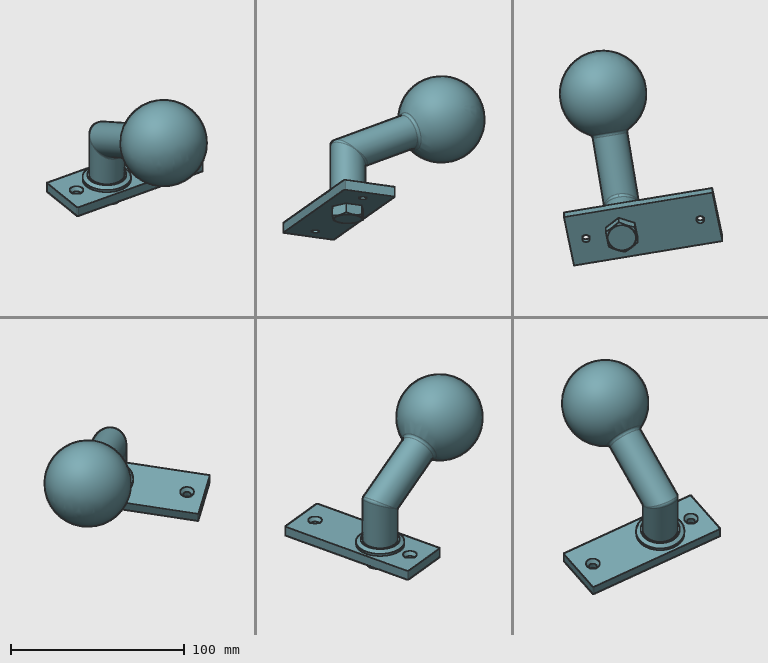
import cadquery as cq
import math


plate_width = 32.0
plate_length = 87.0
plate_thickness = 6.0
plate_front_margin = 31.0
plate_corner_radius = 0.5
screw_hole_diameter = 4.5
countersink_diameter = 8.0
countersink_angle = 75.0
screw_end_margin = 10.0

washer_diameter = 28.0
washer_thickness = 3.0
washer_rim_height = washer_thickness / 2
washer_top_diameter = 22.6

bolt_diameter = 10.0
bolt_head_flats = 17.0
bolt_head_height = 6.4
bolt_head_face_diameter = 16.2
bolt_head_chamfer_angle = 30.0
bolt_reach = 16.0

handle_diameter = 20.4
ball_diameter = 50.0
ball_offset = 59.0
ball_height = 62.0
arm_rise_angle = 26.0
handle_fillet_radius = 2.0

plate_center_y = plate_length / 2 - plate_front_margin
screw_spacing = plate_length - 2 * screw_end_margin
washer_top = plate_thickness + washer_thickness
bolt_tip = washer_top + bolt_reach
arm_rise = math.radians(arm_rise_angle)
elbow_height = ball_height - ball_offset * math.tan(arm_rise)
miter_angle = (90 - arm_rise_angle) / 2
neck_distance = math.sqrt((ball_diameter / 2) ** 2 - (handle_diameter / 2) ** 2)
splitter_size = 4 * ball_offset


def make_plate():
    """Rectangular plate with two countersunk screw holes and a bolt hole."""
    plate = (
        cq.Workplane("XY")
        .center(0, plate_center_y)
        .rect(plate_width, plate_length)
        .extrude(plate_thickness)
        .edges("|Z")
        .fillet(plate_corner_radius)
    )
    plate = (
        plate.faces(">Z")
        .workplane(origin=(0, plate_center_y, plate_thickness))
        .rarray(1, screw_spacing, 1, 2)
        .cskHole(screw_hole_diameter, countersink_diameter, countersink_angle)
    )
    bolt_hole = cq.Workplane("XY").circle(bolt_diameter / 2).extrude(plate_thickness)
    return plate.cut(bolt_hole)


def make_washer():
    """Flat ring whose upper outside edge is a cone."""
    return (
        cq.Workplane("XZ")
        .moveTo(bolt_diameter / 2, plate_thickness)
        .lineTo(washer_diameter / 2, plate_thickness)
        .lineTo(washer_diameter / 2, plate_thickness + washer_rim_height)
        .lineTo(washer_top_diameter / 2, washer_top)
        .lineTo(bolt_diameter / 2, washer_top)
        .close()
        .revolve(360, (0, 0, 0), (0, 1, 0))
    )


def make_bolt():
    """Hex bolt, head below the plate, with the outer head corners turned to a cone."""
    corner_diameter = bolt_head_flats / math.cos(math.radians(30))
    head = (
        cq.Workplane("XY")
        .workplane(offset=-bolt_head_height)
        .polygon(6, corner_diameter)
        .extrude(bolt_head_height)
    )
    face_radius = bolt_head_face_diameter / 2
    corner_radius = corner_diameter / 2
    chamfer_height = (corner_radius - face_radius) * math.tan(math.radians(bolt_head_chamfer_angle))
    turned_blank = (
        cq.Workplane("XZ")
        .moveTo(0, -bolt_head_height)
        .lineTo(face_radius, -bolt_head_height)
        .lineTo(corner_radius, chamfer_height - bolt_head_height)
        .lineTo(corner_radius, 0)
        .lineTo(0, 0)
        .close()
        .revolve(360, (0, 0, 0), (0, 1, 0))
    )
    shank = cq.Workplane("XY").circle(bolt_diameter / 2).extrude(bolt_tip)
    return head.intersect(turned_blank).union(shank)


def round_elbow(bar):
    """Round the mitre, which sticks out on the back of the bend and is hollow on the inside of it.

    The bar is split at the elbow, square to the mitre, so that each half holds only
    one kind of corner. Each half is rounded by itself and the halves are joined again.
    """
    halves = []
    for side in (-1, 1):
        half_space = (
            cq.Workplane("XY")
            .box(splitter_size, splitter_size, splitter_size)
            .translate((side * splitter_size / 2, 0, 0))
            .rotate((0, 0, 0), (0, 1, 0), miter_angle)
            .translate((0, 0, elbow_height))
        )
        half = bar.intersect(half_space)
        miter_corner = half.edges("%ELLIPSE").edges("<Y or >Y")
        halves.append(miter_corner.fillet(handle_fillet_radius))
    return halves[0].union(halves[1])


def make_handle():
    """Round stem mitred into a sloping arm that ends in a ball, drilled for the bolt."""
    path = (
        cq.Workplane("XZ")
        .moveTo(0, washer_top)
        .lineTo(0, elbow_height)
        .lineTo(ball_offset, ball_height)
    )
    bar = (
        cq.Workplane("XY")
        .workplane(offset=washer_top)
        .circle(handle_diameter / 2)
        .sweep(path, transition="right")
    )
    bar = round_elbow(bar)
    ball = (
        cq.Workplane("XY")
        .sphere(ball_diameter / 2)
        .rotate((0, 0, 0), (1, 0, 0), 90)
        .translate((ball_offset, 0, ball_height))
    )
    handle = bar.union(ball)
    neck_point = (
        ball_offset - neck_distance * math.cos(arm_rise),
        0,
        ball_height - neck_distance * math.sin(arm_rise),
    )
    handle = handle.edges(cq.selectors.NearestToPointSelector(neck_point)).fillet(handle_fillet_radius)
    bolt_hole = (
        cq.Workplane("XY")
        .workplane(offset=washer_top)
        .circle(bolt_diameter / 2)
        .extrude(bolt_reach)
    )
    return handle.cut(bolt_hole)


plate = make_plate()
washer = make_washer()
bolt = make_bolt()
handle = make_handle()
bodies = [plate, washer, bolt, handle]
result = cq.Compound.makeCompound([body.solids().val() for body in bodies])